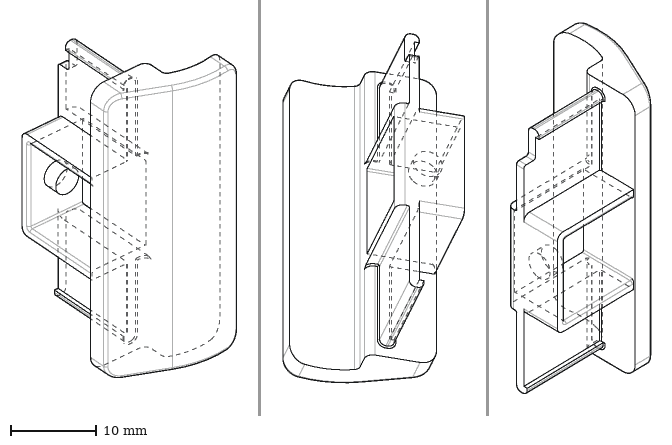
import cadquery as cq
import math


HEIGHT = 40.35
DEPTH = 16.9
PLATE_X = 12.7
FOOT_X = 15.4
SHELF_Y = 8.5
ARC_X = 6.95
ARC_Y = 12.85
INNER_RADIUS = 10.1
OUTER_RADIUS = 13.05
HOOK_FILLET = 0.8
BACK_ROUND = 1.0
CORNER_RADIUS = 2.0
RIM_FILLET = 0.5

WEB_FRONT = 5.75
WEB_BACK = 6.98
WEB_HALF = 18.67
BEAD_WIDTH = 1.77
BEAD_ROUND = 0.75
BEAD_LIP = 0.32
NOTCH_X = 1.98
NOTCH_Z = 14.45
NOTCH_FILLET = 0.4
ROOT_SPREAD = 0.25
ROOT_LENGTH = 0.12

BOX_FRONT = 0.25
BOX_HALF = 7.25
BOX_ROUND = 0.93
WALL = 1.2
WINDOW_CORNER = 0.25
WINDOW_RIM = 0.35
RIM_LAND = 0.1
WEB_BOX_FILLET = 0.25

PEG_DIAMETER = 3.5
PEG_END = 3.3
PEG_Y = (BOX_FRONT + SHELF_Y) / 2


def block(x0, x1, y0, y1, half_z):
    """Box between the given X and Y limits, centred on Z = 0."""
    solid = cq.Workplane("XY").box(x1 - x0, y1 - y0, 2 * half_z, centered=(False, False, True))
    return solid.translate((x0, y0, 0))


def nearest(point):
    return cq.selectors.NearestToPointSelector(point)


def arc_point(radius, angle):
    """Point on one of the cover's concentric arcs, with the angle measured from +X."""
    return (ARC_X + radius * math.cos(angle), ARC_Y + radius * math.sin(angle))


def make_cover():
    """Hooked cover with rounded corners and a rounded outer rim."""
    foot_dx = FOOT_X - ARC_X
    foot_distance = math.hypot(foot_dx, ARC_Y)
    tangent_angle = math.acos(OUTER_RADIUS / foot_distance) - math.atan2(ARC_Y, foot_dx)
    top_outer = math.asin((DEPTH - ARC_Y) / OUTER_RADIUS)
    top_inner = math.asin((DEPTH - ARC_Y) / INNER_RADIUS)
    shelf_angle = math.asin((SHELF_Y - ARC_Y) / INNER_RADIUS)
    shelf_corner = arc_point(INNER_RADIUS, shelf_angle)
    cover = (
        cq.Workplane("XY", origin=(0, 0, -HEIGHT / 2))
        .moveTo(PLATE_X, 0)
        .lineTo(FOOT_X, 0)
        .lineTo(*arc_point(OUTER_RADIUS, tangent_angle))
        .threePointArc(arc_point(OUTER_RADIUS, 0), arc_point(OUTER_RADIUS, top_outer))
        .lineTo(*arc_point(INNER_RADIUS, top_inner))
        .threePointArc(arc_point(INNER_RADIUS, 0), shelf_corner)
        .lineTo(PLATE_X, SHELF_Y)
        .close()
        .extrude(HEIGHT)
    )
    cover = cover.edges(nearest((*shelf_corner, 0))).fillet(HOOK_FILLET)
    cover = cover.edges(nearest((PLATE_X, SHELF_Y, 0))).fillet(BACK_ROUND)
    envelope = block(0, 2 * PLATE_X, 0, DEPTH, HEIGHT / 2).edges("|X").fillet(CORNER_RADIUS)
    cover = cover.intersect(envelope)
    tangent_point = arc_point(OUTER_RADIUS, tangent_angle)
    slope_middle = ((FOOT_X + tangent_point[0]) / 2, tangent_point[1] / 2, 0)
    bulge_middle = (*arc_point(OUTER_RADIUS, (tangent_angle + top_outer) / 2), 0)
    slope_edges = cover.faces(nearest(slope_middle)).edges().vals()
    bulge_edges = cover.faces(nearest(bulge_middle)).edges().vals()
    shared = [edge for edge in slope_edges if any(edge.isSame(other) for other in bulge_edges)]
    rim = [edge for edge in slope_edges + bulge_edges if not any(edge.isSame(seam) for seam in shared)]
    return cover.newObject(rim).fillet(RIM_FILLET)


def web_profile(x, grow):
    """Outline of the web and its beads at one X, widened by grow except under the beads."""
    back = WEB_BACK + grow
    web_front = WEB_FRONT - grow
    bead_front = WEB_BACK - BEAD_WIDTH - grow
    end = WEB_HALF + grow
    shoulder = WEB_HALF - BEAD_ROUND
    lip = shoulder - BEAD_LIP
    radius = BEAD_ROUND + grow
    return (
        cq.Workplane("YZ", origin=(x, 0, 0))
        .moveTo(back, -shoulder)
        .lineTo(back, shoulder)
        .radiusArc((back - radius, end), -radius)
        .lineTo(bead_front + radius, end)
        .radiusArc((bead_front, shoulder), -radius)
        .lineTo(bead_front, lip)
        .lineTo(web_front, lip)
        .lineTo(web_front, -lip)
        .lineTo(bead_front, -lip)
        .lineTo(bead_front, -shoulder)
        .radiusArc((bead_front + radius, -end), -radius)
        .lineTo(back - radius, -end)
        .radiusArc((back, -shoulder), -radius)
        .close()
    )


def root_flare(profile):
    """Taper that widens a profile where it meets the cover."""
    narrow_wire = profile(PLATE_X - ROOT_LENGTH, 0).wires().val()
    wide_wire = profile(PLATE_X, ROOT_SPREAD).wires().val()
    return cq.Workplane(cq.Solid.makeLoft([narrow_wire, wide_wire], True))


def box_back_profile(x, grow):
    """Outline of the box behind the web, up to the cover's round."""
    depth = SHELF_Y - BACK_ROUND - WEB_FRONT
    return cq.Workplane("YZ", origin=(x, WEB_FRONT + depth / 2, 0)).rect(depth, 2 * (BOX_HALF + grow))


def make_web():
    """Beaded web with a notch at the +Z corner of its free end."""
    web = web_profile(0, 0).extrude(PLATE_X)
    notch_half = (HEIGHT / 2 - NOTCH_Z) / 2
    notch = block(0, NOTCH_X, 0, DEPTH, notch_half).translate((0, 0, NOTCH_Z + notch_half))
    web = web.cut(notch)
    for x in (0, NOTCH_X):
        corner = (x, (WEB_FRONT + WEB_BACK) / 2, NOTCH_Z)
        web = web.edges(nearest(corner)).fillet(NOTCH_FILLET)
    return web.union(root_flare(web_profile))


def curved_root_flare():
    """Taper that carries the box's root flare around the cover's back round."""
    axis_x = PLATE_X + BACK_ROUND
    axis_y = SHELF_Y - BACK_ROUND
    outer = BACK_ROUND + ROOT_LENGTH
    wide = BOX_HALF + ROOT_SPREAD
    ring = (
        cq.Workplane("XZ", origin=(axis_x, axis_y, 0))
        .moveTo(0, -wide)
        .lineTo(BACK_ROUND, -wide)
        .lineTo(outer, -BOX_HALF)
        .lineTo(outer, BOX_HALF)
        .lineTo(BACK_ROUND, wide)
        .lineTo(0, wide)
        .close()
        .revolve(360, (0, 0), (0, 1))
    )
    return ring.intersect(block(0, axis_x, axis_y, SHELF_Y, HEIGHT / 2))


def make_box():
    """Front part rounded at its Z corners, back part rounded at its back end."""
    front = block(0, PLATE_X, BOX_FRONT, WEB_BACK, BOX_HALF).edges("|Y and <X").fillet(BOX_ROUND)
    back = block(0, PLATE_X + BACK_ROUND, WEB_FRONT, SHELF_Y, BOX_HALF)
    back = back.edges("|Z and >Y and <X").fillet(BACK_ROUND)
    return front.union(back).union(root_flare(box_back_profile)).union(curved_root_flare())


def make_web_box_fillets():
    """Concave fillets between the back of the web and the sides of the box."""
    r = WEB_BOX_FILLET
    middle = r * (1 - math.sqrt(0.5))
    fillet = (
        cq.Workplane("YZ")
        .moveTo(WEB_BACK, BOX_HALF)
        .lineTo(WEB_BACK + r, BOX_HALF)
        .threePointArc((WEB_BACK + middle, BOX_HALF + middle), (WEB_BACK, BOX_HALF + r))
        .close()
        .extrude(PLATE_X)
    )
    return fillet.union(fillet.mirror("XY"))


def make_window():
    """Through opening that ends at the cover and flares at its front rim."""
    half = BOX_HALF - WALL
    window = block(WALL, PLATE_X, BOX_FRONT, SHELF_Y, half).edges("|Y").fillet(WINDOW_CORNER)
    rim_back = BOX_FRONT + WINDOW_RIM + RIM_LAND
    frame = block(0, PLATE_X + WALL, BOX_FRONT, rim_back, BOX_HALF)
    opening = block(WALL, PLATE_X, BOX_FRONT, rim_back, half).edges("|Y").fillet(WINDOW_CORNER)
    inner_edges = cq.selectors.BoxSelector(
        (WALL / 2, BOX_FRONT - RIM_LAND, -half - WALL / 2),
        (PLATE_X + WALL / 2, BOX_FRONT + RIM_LAND, half + WALL / 2),
    )
    frame = frame.cut(opening).edges(inner_edges).fillet(WINDOW_RIM)
    slab = block(WALL / 2, PLATE_X, BOX_FRONT, rim_back, half + WALL / 2)
    return window.union(slab.cut(frame))


def make_peg():
    """Round peg on the end wall, pointing towards the cover."""
    start = WALL / 2
    return cq.Workplane("YZ", origin=(start, PEG_Y, 0)).circle(PEG_DIAMETER / 2).extrude(PEG_END - start)


result = make_cover().union(make_web()).union(make_box()).union(make_web_box_fillets())
result = result.cut(make_window()).union(make_peg())